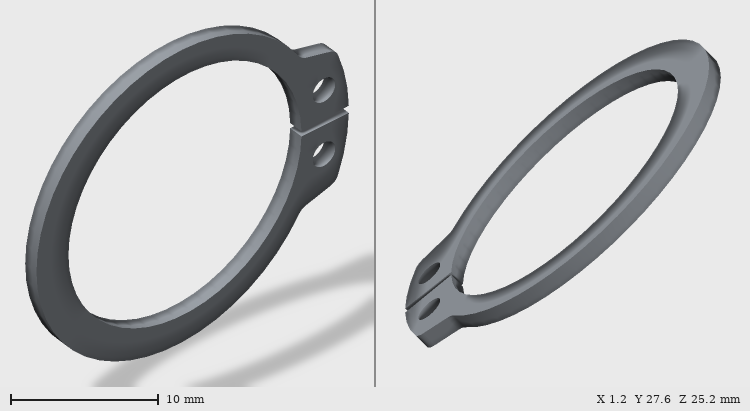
import cadquery as cq
import math

thickness = 1.2
bore_radius = 10.3
rim_radius = 25.2 / 2
overall_length = 27.6
rim_center_y = -0.52
gap_half_at_bore = 0.22
lug_side_angle = 15.0
lug_side_ref_y = 12.9
lug_side_ref_z = 5.77
lug_corner_radius = 1.0
lug_root_radius = 1.0
hole_diameter = 2.0
hole_y = 12.28
hole_z = 2.75

gap_half_angle = math.asin(gap_half_at_bore / bore_radius)
lug_tip_y = overall_length - rim_radius + rim_center_y
lug_radius = lug_tip_y / math.cos(gap_half_angle)


def disc(radius, center_y=0.0):
    """Disc centred across the thickness; on the YZ plane local x is Y and local y is Z."""
    return (
        cq.Workplane("YZ")
        .center(center_y, 0)
        .circle(radius)
        .extrude(thickness / 2, both=True)
    )


def lug_side_z(y):
    return lug_side_ref_z + (lug_side_ref_y - y) * math.tan(math.radians(lug_side_angle))


def lug_corner():
    """Point (Y, Z) where the straight side of the upper lug meets the outer lug arc."""
    side_angle = math.radians(lug_side_angle)
    normal_distance = lug_side_z(0) * math.cos(side_angle)
    polar_angle = math.pi / 2 - side_angle - math.acos(normal_distance / lug_radius)
    return lug_radius * math.cos(polar_angle), lug_radius * math.sin(polar_angle)


def lug_pair():
    """Both lugs as one block, bounded by the sloping sides and the outer lug arc."""
    start_y = bore_radius / 2
    start_z = lug_side_z(start_y)
    corner_y, corner_z = lug_corner()
    block = (
        cq.Workplane("YZ")
        .moveTo(start_y, -start_z)
        .lineTo(corner_y, -corner_z)
        .threePointArc((lug_radius, 0), (corner_y, corner_z))
        .lineTo(start_y, start_z)
        .close()
        .extrude(thickness / 2, both=True)
    )
    return block.edges("|X").edges(">Y").fillet(lug_corner_radius)


def gap():
    """Radial wedge that splits the ring between the lugs."""
    reach = 2 * lug_radius
    half_width = reach * math.tan(gap_half_angle)
    return (
        cq.Workplane("YZ")
        .polyline([(0, 0), (reach, -half_width), (reach, half_width)])
        .close()
        .extrude(thickness, both=True)
    )


def plier_holes():
    return (
        cq.Workplane("YZ", origin=(-thickness, 0, 0))
        .pushPoints([(hole_y, hole_z), (hole_y, -hole_z)])
        .circle(hole_diameter / 2)
        .extrude(2 * thickness)
    )


body = disc(rim_radius, rim_center_y).union(lug_pair())
root_zone = cq.selectors.BoxSelector(
    (-thickness, bore_radius / 2, -rim_radius),
    (thickness, lug_side_ref_y - hole_diameter, rim_radius),
)
body = body.edges("|X").edges(root_zone).fillet(lug_root_radius)

result = body.cut(disc(bore_radius)).cut(gap()).cut(plier_holes())